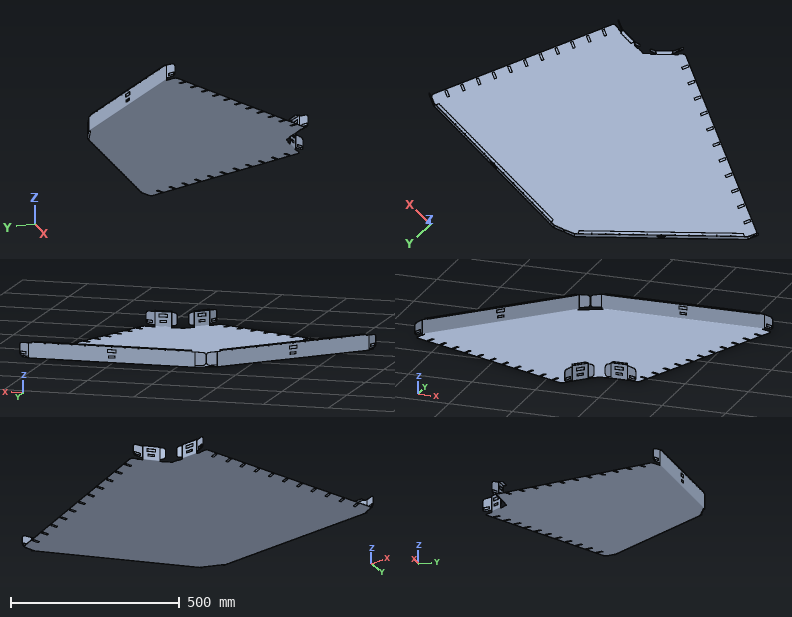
import cadquery as cq
import math


sheet = 1.0
bend = 2.0
height = 50.0
overall_width = 983
inner_apothem = 150.0
half_sector = 22.5
mirror_angle = 90 + half_sector

tab_length = 33.0
seam_gap = 0.5
lap_length = 17.0
tab_bottom = 6.0
tab_top = 44.0
shoulder = 47.0
tab_round = 10.0

outer_flange_depth = 10.0
inner_flange_depth = 12.0
flange_slant = 4.0
outer_flange_setback = 10.0
inner_flange_setback = 0
outer_flange_bays = 12
inner_flange_bays = 1
notch_width = 2.0
notch_depth = 3.0

floor_gap = 5.0
floor_relief = 15.0
floor_round = 10.0

knockout_depth = 0.3
slot_length = 20.0
slot_width = 7.0
slot_setback = 15.0
floor_slot_count = 11
floor_slot_pitch = 50.0
first_slot_radius = 199.0
lower_window_height = 18.0
lower_window_width = 6.0
upper_window_height = 35.0
upper_window_length = 26.0
upper_window_width = 9.0

sine = math.sin(math.radians(half_sector))
cosine = math.cos(math.radians(half_sector))
tangent = sine / cosine

outer_tip_radius = overall_width / (sine + cosine)
outer_apothem = outer_tip_radius * cosine + tab_length * sine


def mirrored_point(point):
    """Reflect a plan point in the symmetry plane."""
    double = math.radians(2 * mirror_angle)
    x, y = point
    return (x * math.cos(double) + y * math.sin(double), x * math.sin(double) - y * math.cos(double))


def mirrored_body(body):
    """Reflect a body in the symmetry plane."""
    return body.mirror("YZ").rotate((0, 0, 0), (0, 0, 1), 2 * mirror_angle - 180)


def fold_position(apothem):
    """Distance from the middle of a wall to the fold of a tab that ends on the radial edge."""
    return apothem * tangent - tab_length / cosine


def make_floor():
    outer_edge = outer_apothem - bend
    recessed_edge = inner_apothem + bend
    recess_end = fold_position(inner_apothem) + floor_relief
    corner_radius = outer_tip_radius - floor_gap
    wall_end = (corner_radius - outer_edge * cosine) / sine
    middle_vertex = (-inner_apothem * tangent, inner_apothem)
    inner_corner = (inner_apothem * tangent, inner_apothem)
    outer_corner = (corner_radius * sine, corner_radius * cosine)
    half = [
        (-recess_end, inner_apothem),
        (-recess_end, recessed_edge),
        (recess_end, recessed_edge),
        (recess_end, inner_apothem),
        inner_corner,
        outer_corner,
        (wall_end, outer_edge),
        (-wall_end, outer_edge),
    ]
    other_half = [mirrored_point(point) for point in reversed(half)]
    floor = cq.Workplane("XY").polyline([middle_vertex] + half + other_half).close().extrude(sheet)
    for corner in (inner_corner, outer_corner):
        for x, y in (corner, mirrored_point(corner)):
            around = cq.selectors.BoxSelector((x - sheet, y - sheet, -sheet), (x + sheet, y + sheet, 2 * sheet))
            floor = floor.edges("|Z").edges(around).fillet(floor_round)
    return floor


def floor_slots():
    """Slots square to the right-hand radial edge, pressed into the top of the floor."""
    places = [(first_slot_radius + i * floor_slot_pitch, slot_setback) for i in range(floor_slot_count)]
    bottom = cq.Workplane("XY").workplane(offset=sheet - knockout_depth)
    slots = bottom.pushPoints(places).rect(slot_width, slot_length).extrude(sheet)
    return slots.rotate((0, 0, 0), (0, 0, 1), 90 - half_sector)


def knockout(length, width, x, z, face, side):
    """Rectangle pressed into both faces of an upright sheet whose outer face is at Y = face."""
    blank = cq.Workplane("XY").box(length, 2 * sheet, width)
    core = cq.Workplane("XY").box(length, sheet - 2 * knockout_depth, width)
    return blank.cut(core).translate((x, face + side * sheet / 2, z))


def wall_web(apothem, side):
    """Wall between its folds with the bend into the floor; side is the sheet direction along Y."""
    fold = fold_position(apothem)
    outside = bend * (1 - math.sqrt(0.5))
    inside = bend - (bend - sheet) * math.sqrt(0.5)
    bend_end = apothem + side * bend
    inner_face = apothem + side * sheet
    floor_overlap = bend_end + side * sheet
    section = (
        cq.Workplane("YZ", origin=(-fold, 0, 0))
        .moveTo(bend_end, 0)
        .threePointArc((apothem + side * outside, outside), (apothem, bend))
        .lineTo(apothem, shoulder)
        .lineTo(inner_face, shoulder)
        .lineTo(inner_face, bend)
        .threePointArc((apothem + side * inside, inside), (bend_end, sheet))
        .lineTo(floor_overlap, sheet)
        .lineTo(floor_overlap, 0)
        .close()
    )
    return section.extrude(2 * fold)


def wall_flange(apothem, side, depth, setback, bays):
    """Top of a wall folded over into a flange with slanted ends and notches along its fold."""
    half_length = fold_position(apothem) - setback
    inner_face = apothem + side * sheet
    free_edge = apothem + side * depth
    section = [
        (apothem, shoulder - sheet),
        (apothem, height),
        (free_edge, height),
        (free_edge, height - sheet),
        (inner_face, height - sheet),
        (inner_face, shoulder - sheet),
    ]
    flange = cq.Workplane("YZ", origin=(-half_length, 0, 0)).polyline(section).close().extrude(2 * half_length)
    free_half = half_length - flange_slant
    plan = [
        (-half_length, apothem),
        (half_length, apothem),
        (free_half, free_edge),
        (-free_half, free_edge),
    ]
    flange = flange.intersect(cq.Workplane("XY").polyline(plan).close().extrude(height))
    for i in range(1, bays):
        notch = cq.Workplane("XY").box(notch_width, 2 * notch_depth, 2 * notch_depth)
        flange = flange.cut(notch.translate((2 * half_length * i / bays - half_length, apothem, height)))
    return flange


def tab(apothem, side, length, slotted):
    """Tab at the +X end of a wall, folded towards the centre; its root lies on the end of the wall."""
    root = -side * sheet * tangent
    outline = [(-sheet, tab_bottom), (length, tab_bottom), (length, tab_top), (0, shoulder), (-sheet, shoulder)]
    back = max(0, side * sheet)
    blank = cq.Workplane("XZ", origin=(0, back, 0)).polyline(outline).close().extrude(sheet)
    blank = blank.edges("|Y and >X").fillet(tab_round)
    plan = [(0, 0), (length, 0), (length, side * sheet), (root, side * sheet)]
    blank = blank.intersect(cq.Workplane("XY").polyline(plan).close().extrude(height))
    if slotted:
        blank = blank.cut(knockout(slot_length, slot_width, length - slot_setback, slot_setback, 0, side))
    return blank.rotate((0, 0, 0), (0, 0, 1), -half_sector).translate((fold_position(apothem), apothem, 0))


def make_wall(apothem, side, flange_depth, setback, bays, middle_tab_length):
    """Wall square to Y with its flange, a slotted tab at +X, a plain tab at -X and two windows."""
    wall = wall_web(apothem, side).union(wall_flange(apothem, side, flange_depth, setback, bays))
    wall = wall.union(tab(apothem, side, tab_length, True))
    wall = wall.union(tab(apothem, side, middle_tab_length, False).mirror("YZ"))
    lower = knockout(slot_length, lower_window_width, 0, lower_window_height, apothem, side)
    upper = knockout(upper_window_length, upper_window_width, 0, upper_window_height, apothem, side)
    return wall.cut(lower).cut(upper)


outer_wall = make_wall(
    outer_apothem,
    side=-1,
    flange_depth=outer_flange_depth,
    setback=outer_flange_setback,
    bays=outer_flange_bays,
    middle_tab_length=tab_length - seam_gap,
)
inner_wall = make_wall(
    inner_apothem,
    side=1,
    flange_depth=inner_flange_depth,
    setback=inner_flange_setback,
    bays=inner_flange_bays,
    middle_tab_length=lap_length,
)

result = make_floor()
for wall in (outer_wall, inner_wall):
    result = result.union(wall).union(mirrored_body(wall))
slots = floor_slots()
result = result.cut(slots).cut(mirrored_body(slots))